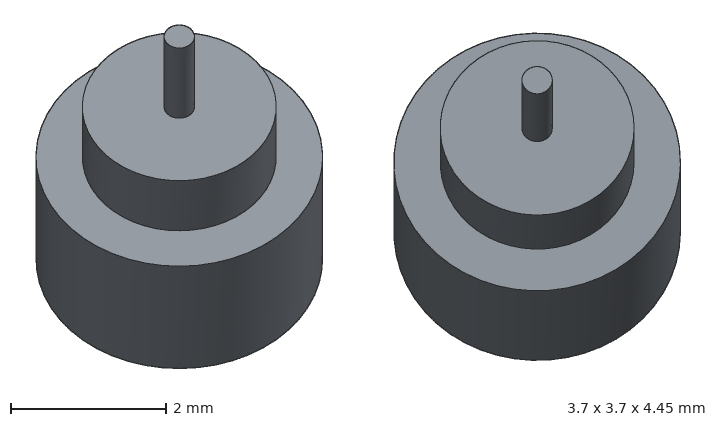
import cadquery as cq

total_height = 4.45
base_diameter = 3.7
base_height = 2.045
collar_diameter = 2.5
collar_height = 1.0
pin_diameter = 0.39
pin_height = total_height - base_height - collar_height


def stack_cylinder(body, diameter, height):
    """Add a coaxial cylinder on the top face of the body."""
    return body.faces(">Z").workplane().circle(diameter / 2).extrude(height)


base = cq.Workplane("XY").circle(base_diameter / 2).extrude(base_height)
base_and_collar = stack_cylinder(base, collar_diameter, collar_height)
result = stack_cylinder(base_and_collar, pin_diameter, pin_height)